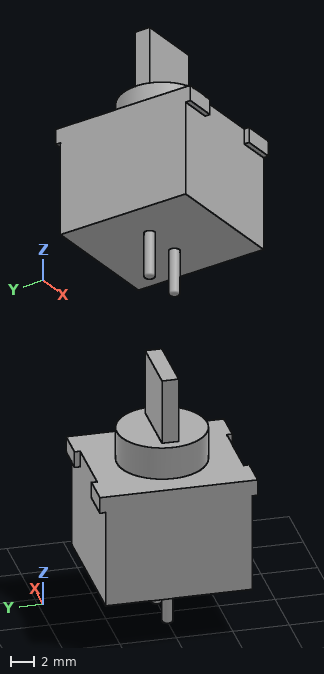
import cadquery as cq

total_height = 23.8
body_width = 12.0
body_depth = 13.0
body_height = 10.5

tab_width = 3.0
tab_height = 1.5
tab_overhang = 0.5

collar_diameter = 8.0
collar_height = 3.0

blade_width = 6.0
blade_thickness = 1.5
blade_height = 6.0

pin_diameter = 1.0
pin_pitch = 3.8
pin_length = total_height - body_height - collar_height - blade_height
pin_tip_radius = 0.2


def make_body():
    """Rectangular housing."""
    return cq.Workplane("XY").box(body_width, body_depth, body_height, centered=(True, True, False))


def make_tabs():
    """Four corner tabs, paired front to back as bars that run through the housing."""
    bar_depth = body_depth + 2 * tab_overhang
    bar_offset = (body_width - tab_width) / 2
    return (
        cq.Workplane("XY", origin=(0, 0, body_height - tab_height))
        .pushPoints([(-bar_offset, 0), (bar_offset, 0)])
        .rect(tab_width, bar_depth)
        .extrude(tab_height)
    )


def make_actuator():
    """Round collar on top of the housing, carrying a flat blade."""
    collar = (
        cq.Workplane("XY", origin=(0, 0, body_height))
        .circle(collar_diameter / 2)
        .extrude(collar_height)
    )
    return collar.faces(">Z").workplane().rect(blade_width, blade_thickness).extrude(blade_height)


def make_pin(x):
    """Round pin below the housing with a rounded tip."""
    return (
        cq.Workplane("XY", origin=(x, 0, 0))
        .circle(pin_diameter / 2)
        .extrude(-pin_length)
        .faces("<Z")
        .edges()
        .fillet(pin_tip_radius)
    )


result = make_body().union(make_tabs()).union(make_actuator())
for side in (-1, 1):
    result = result.union(make_pin(side * pin_pitch / 2))